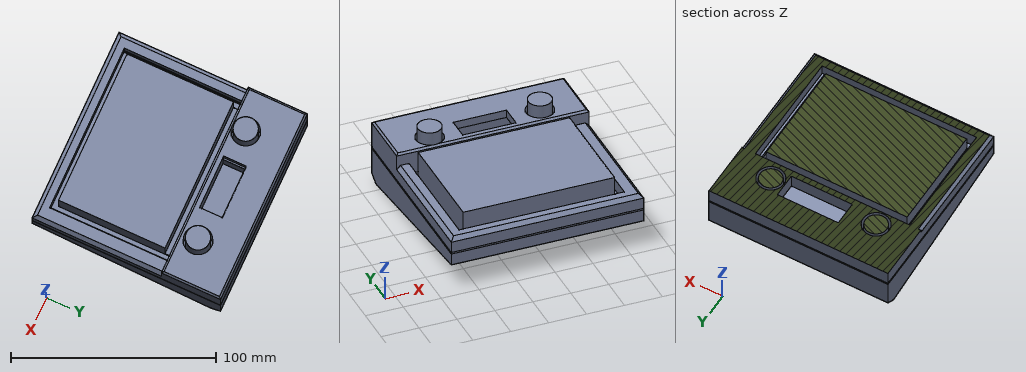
import cadquery as cq


width = 101.5
depth = 101.0
left = -width / 2
front = -depth / 2
back = depth / 2

base_front_height = 11.3
rear_bevel_height = 3.2
rear_bevel_depth = 5.3
base_top = 17.7
plate_thickness = 0.9
plate_top = base_top + plate_thickness
deck_top = 26.6
console_top = 33.5
screen_top = 34.1
knob_top = 39.8

console_front = 18.8
deck_chamfer = 2.0
console_chamfer = 1.0

screen_left = -40.8
screen_right = 39.1
screen_front = -41.6
screen_back = 15.4
opening_left = -44.3
opening_right = 42.9
opening_front = -44.7
lower_opening_left = -43.7
lower_opening_right = 41.6
ledge_depth = 6.1
ledge_z = deck_top - ledge_depth

window_left = -14.5
window_right = 13.6
window_front = 22.2
window_back = 34.3
window_wall = 4.3
pocket_left = -13.6
pocket_right = window_right + 7.1
pocket_back = window_back + 1.0

knob_diameter = 12.3
knob_hole_diameter = 14.4
knob_centers = [(-30.0, 26.9), (28.7, 28.3)]


def block(x_min, x_max, y_min, y_max, z_min, z_max):
    """Axis-aligned box between the given limits."""
    size = (x_max - x_min, y_max - y_min, z_max - z_min)
    return cq.Workplane().box(*size, centered=False).translate((x_min, y_min, z_min))


def upright_cylinders(diameter, z_min, z_max):
    """One vertical cylinder on each knob axis."""
    return (
        cq.Workplane()
        .workplane(offset=z_min)
        .pushPoints(knob_centers)
        .circle(diameter / 2)
        .extrude(z_max - z_min)
    )


def make_base():
    """Wedge with a sloping underside and a bevelled lower rear edge."""
    side_profile = [
        (front, base_top),
        (front, base_front_height),
        (back - rear_bevel_depth, 0),
        (back, rear_bevel_height),
        (back, base_top),
    ]
    return (
        cq.Workplane("YZ")
        .workplane(offset=left)
        .polyline(side_profile)
        .close()
        .extrude(width)
    )


def make_carrier():
    """Plate clamped between base and cover, with the screen, its low rear tail and the knobs."""
    plate = block(left, -left, front, back, base_top, plate_top)
    screen = block(screen_left, screen_right, screen_front, screen_back, plate_top, screen_top)
    screen_tail = block(screen_left, screen_right, screen_back, console_front, plate_top, ledge_z)
    knobs = upright_cylinders(knob_diameter, plate_top, knob_top)
    return plate.union(screen).union(screen_tail).union(knobs)


def cover_shell():
    """Stepped outer form of the cover, with chamfered upper edges."""
    deck = (
        block(left, -left, front, back, plate_top, deck_top)
        .faces(">Z")
        .edges("<X or >X or <Y")
        .chamfer(deck_chamfer)
    )
    console = (
        block(left, -left, console_front, back, plate_top, console_top)
        .faces(">Z")
        .edges()
        .chamfer(console_chamfer)
    )
    return deck.union(console)


def screen_opening():
    """Opening around the screen, narrower below a ledge on its two sides."""
    upper = block(opening_left, opening_right, opening_front, console_front, ledge_z, deck_top)
    lower = block(
        lower_opening_left, lower_opening_right, opening_front, console_front, plate_top, ledge_z
    )
    return upper.union(lower)


def window_opening():
    """Window through the console wall, opening into the pocket beneath it."""
    wall_bottom = console_top - window_wall
    window = block(window_left, window_right, window_front, window_back, wall_bottom, console_top)
    pocket = block(pocket_left, pocket_right, window_front, pocket_back, plate_top, wall_bottom)
    return window.union(pocket)


def make_cover():
    """Stepped cover with the screen, window and knob openings cut through it."""
    knob_holes = upright_cylinders(knob_hole_diameter, plate_top, console_top)
    return cover_shell().cut(screen_opening()).cut(window_opening()).cut(knob_holes)


base = make_base()
carrier = make_carrier()
cover = make_cover()

bodies = [base, carrier, cover]
result = cq.Compound.makeCompound([body.solids().val() for body in bodies])